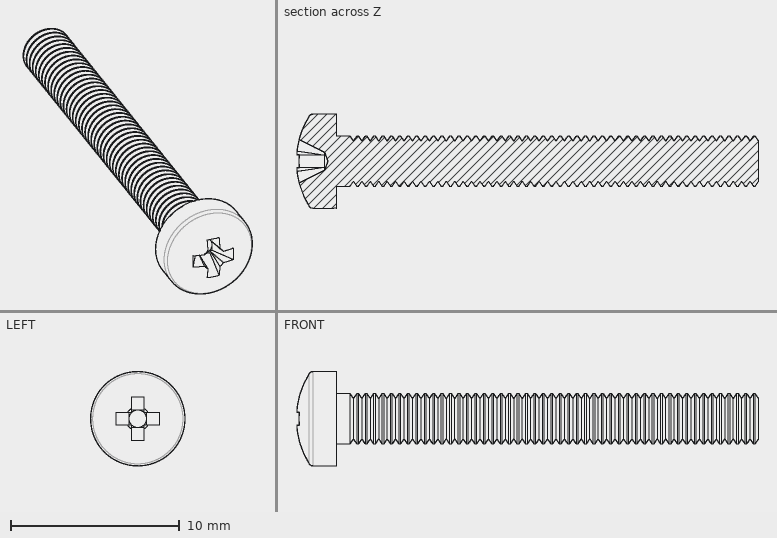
import cadquery as cq
import math

total_length = 27.35
head_height = 2.35
head_radius = 5.6 / 2
dome_radius = 5.0
rim_fillet = 0.27

shank_radius = 1.5
root_radius = 1.2
plain_length = 0.8
crest_width = 0.098
ridge_count = 48
neck_end = head_height + plain_length
pitch = (total_length - neck_end + crest_width / 2) / (ridge_count + 0.5)

slot_width = 0.77
slot_tip_radius = 1.29
core_top_radius = 0.7
core_bottom_radius = 0.52
recess_depth = 1.65
drill_tip_angle = 140.0

crown_height = dome_radius - math.sqrt(dome_radius**2 - core_top_radius**2)


def dome_offset(radius):
    """X of the dome surface at a distance from the axis."""
    return dome_radius - crown_height - math.sqrt(dome_radius**2 - radius**2)


def make_head():
    mid_radius = head_radius / 2
    profile = (
        cq.Workplane("XY")
        .moveTo(-crown_height, 0)
        .threePointArc((dome_offset(mid_radius), mid_radius), (dome_offset(head_radius), head_radius))
        .lineTo(head_height, head_radius)
        .lineTo(head_height, 0)
        .close()
    )
    head = profile.revolve(360, (0, 0, 0), (1, 0, 0))
    return head.faces("%CYLINDER").edges("<X").fillet(rim_fillet)


def make_shank():
    """Plain neck followed by ring-shaped thread ridges with sharp roots."""
    thread_start = total_length - ridge_count * pitch
    points = [
        (head_height, 0),
        (head_height, shank_radius),
        (neck_end, shank_radius),
        (thread_start, root_radius),
    ]
    for ridge in range(ridge_count):
        crest_middle = thread_start + (ridge + 0.5) * pitch
        points.append((crest_middle - crest_width / 2, shank_radius))
        points.append((crest_middle + crest_width / 2, shank_radius))
        points.append((thread_start + (ridge + 1) * pitch, root_radius))
    points.append((total_length, 0))
    return cq.Workplane("XY").polyline(points).close().revolve(360, (0, 0, 0), (1, 0, 0))


def make_recess():
    """Two crossing tapered slots around a tapered core that ends in a drill point."""
    top = -crown_height
    tip_depth = core_bottom_radius / math.tan(math.radians(drill_tip_angle / 2))
    core = (
        cq.Workplane("XY")
        .polyline([
            (top, 0),
            (top, core_top_radius),
            (0, core_top_radius),
            (recess_depth, core_bottom_radius),
            (recess_depth + tip_depth, 0),
        ])
        .close()
        .revolve(360, (0, 0, 0), (1, 0, 0))
    )
    slot_start = dome_offset(slot_tip_radius)
    slot = (
        cq.Workplane("XY")
        .polyline([
            (top, slot_tip_radius),
            (slot_start, slot_tip_radius),
            (recess_depth, core_bottom_radius),
            (recess_depth, -core_bottom_radius),
            (slot_start, -slot_tip_radius),
            (top, -slot_tip_radius),
        ])
        .close()
        .extrude(slot_width / 2, both=True)
    )
    return core.union(slot).union(slot.rotate((0, 0, 0), (1, 0, 0), 90))


result = make_head().union(make_shank()).cut(make_recess())